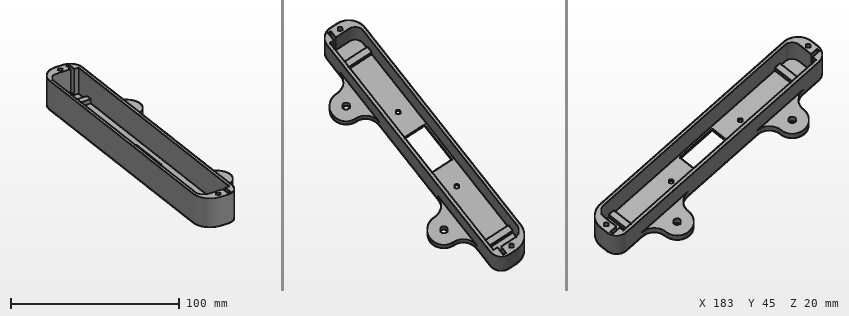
import cadquery as cq

length = 183.0
body_depth = 25.0
height = 20.0
front_corner_radius = 11.9
rear_corner_radius = 8.0

floor_thickness = 2.0
front_wall = 2.0
rear_wall = 2.2
end_wall = 7.0
cavity_corner_radius = 6.0

block_end = 7.9
block_depth = 3.0
slot_width = 2.0
slot_end_wall = 1.8

bar_offset = 17.2
bar_width = 4.4
bar_height = 3.0

small_hole_diameter = 3.0
end_hole_inset = 3.8
floor_hole_spacing = 60.0
window_length = 28.2
window_depth = 16.0
floor_opening_y = 11.3

total_depth = 45.0
ear_spacing = 100.0
ear_thickness = 5.0
ear_hole_diameter = 4.5

half_length = length / 2
half_cavity = half_length - end_wall
cavity_rear_y = body_depth - rear_wall
block_front_y = cavity_rear_y - block_depth
ear_reach = total_depth - body_depth
ear_radius = ear_reach / 2


def box(x_min, x_max, y_min, y_max, z_min, z_max):
    """Make a box from its limits along each axis."""
    size = (x_max - x_min, y_max - y_min, z_max - z_min)
    return cq.Workplane().box(*size, centered=False).translate((x_min, y_min, z_min))


def through_hole(x, y, diameter):
    """Make a vertical cutter as tall as the body."""
    return cq.Workplane().center(x, y).circle(diameter / 2).extrude(height)


def make_body():
    """Make the solid body with large front and smaller rear corners."""
    body = box(-half_length, half_length, 0, body_depth, 0, height)
    body = body.edges("|Z and <Y").fillet(front_corner_radius)
    return body.edges("|Z and >Y").fillet(rear_corner_radius)


def make_cavity():
    """Make the open-top cavity, narrowed by rear blocks and widened by end slots."""
    cavity = box(-half_cavity, half_cavity, front_wall, block_front_y, floor_thickness, height)
    cavity = cavity.edges("|Z and <Y").fillet(cavity_corner_radius)
    half_rear = half_length - block_end
    rear = box(-half_rear, half_rear, front_wall + cavity_corner_radius, cavity_rear_y,
               floor_thickness, height)
    half_slot = half_length - slot_end_wall
    slots = box(-half_slot, half_slot, block_front_y - slot_width, block_front_y,
                floor_thickness, height)
    return cavity.union(rear).union(slots)


def make_ear(x):
    """Make a rounded ear whose sides flare into the rear face."""
    root_y = body_depth
    centre_y = body_depth + ear_radius
    flare_mid = ear_radius * (2 - 0.5 ** 0.5)
    flare_mid_y = root_y + ear_radius * (1 - 0.5 ** 0.5)
    inside_y = root_y - rear_wall
    return (
        cq.Workplane()
        .moveTo(-2 * ear_radius, inside_y)
        .lineTo(-2 * ear_radius, root_y)
        .threePointArc((-flare_mid, flare_mid_y), (-ear_radius, centre_y))
        .threePointArc((0, total_depth), (ear_radius, centre_y))
        .threePointArc((flare_mid, flare_mid_y), (2 * ear_radius, root_y))
        .lineTo(2 * ear_radius, inside_y)
        .close()
        .extrude(ear_thickness)
        .translate((x, 0, 0))
        .cut(through_hole(x, centre_y, ear_hole_diameter))
    )


def make_bar(side):
    """Make one floor bar; side is -1 for the -X end and 1 for the +X end."""
    centre_x = side * (half_length - bar_offset - bar_width / 2)
    return box(centre_x - bar_width / 2, centre_x + bar_width / 2, front_wall, cavity_rear_y,
               floor_thickness, floor_thickness + bar_height)


result = make_body().cut(make_cavity())

window = box(-window_length / 2, window_length / 2, floor_opening_y - window_depth / 2,
             floor_opening_y + window_depth / 2, 0, floor_thickness)
result = result.cut(window)

for side in (-1, 1):
    result = result.union(make_ear(side * ear_spacing / 2))
    result = result.union(make_bar(side))
    end_hole_x = side * (half_length - end_hole_inset)
    result = result.cut(through_hole(end_hole_x, body_depth / 2, small_hole_diameter))
    floor_hole_x = side * floor_hole_spacing / 2
    result = result.cut(through_hole(floor_hole_x, floor_opening_y, small_hole_diameter))